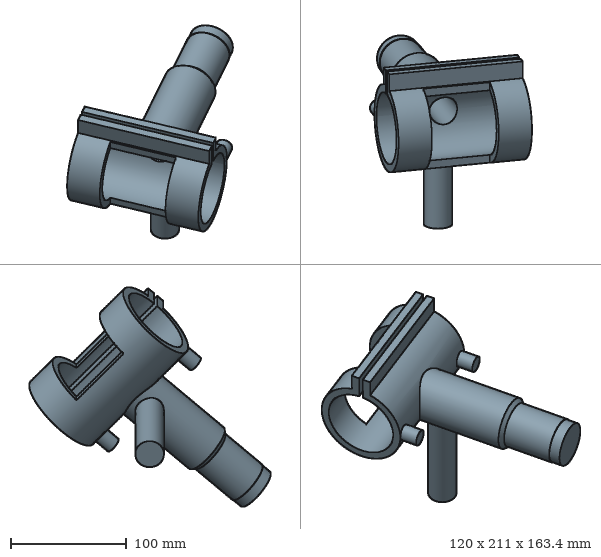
import cadquery as cq


ring_length = 120.0
ring_radius = 38.5
ring_bore_radius = 31.5
window_length = ring_length / 2
window_face_y = -10.3

flange_top_z = 52.8
flange_span = 18.0
flange_gap = 3.5

overall_length = 211.0
neck_end_y = overall_length - ring_radius
cap_length = 10.0
cap_radius = 19.6
spigot_radius = 20.0
neck_radius = 23.5
spigot_length = 44.0
shoulder_length = 3.8
neck_bore_radius = 12.5

branch_radius = neck_bore_radius
branch_y = 48.1
overall_height = 163.4
branch_bottom_z = flange_top_z - overall_height

terminal_radius = 7.2
terminal_x = 52.5
terminal_end_y = 53.6

cap_start_y = neck_end_y - cap_length
shoulder_end_y = cap_start_y - spigot_length
shoulder_start_y = shoulder_end_y - shoulder_length


def cylinder_along_y(radius, start_y, end_y, x=0):
    """Solid cylinder at height zero, from start_y to end_y."""
    return cq.Workplane(cq.Solid.makeCylinder(
        radius, end_y - start_y, cq.Vector(x, start_y, 0), cq.Vector(0, 1, 0)))


def cylinder_along_x(radius):
    """Cylinder on the ring axis, as long as the ring."""
    return (
        cq.Workplane("YZ", origin=(-ring_length / 2, 0, 0))
        .circle(radius)
        .extrude(ring_length)
    )


def flange_block(width, top_z):
    """Upright block over the ring axis, as long as the ring."""
    return cq.Workplane("XY").rect(ring_length, width).extrude(top_z)


def make_neck():
    """Neck, conical shoulder and narrower spigot, revolved about the Y axis."""
    return (
        cq.Workplane("XY")
        .moveTo(0, 0)
        .lineTo(neck_radius, 0)
        .lineTo(neck_radius, shoulder_start_y)
        .lineTo(spigot_radius, shoulder_end_y)
        .lineTo(spigot_radius, cap_start_y)
        .lineTo(0, cap_start_y)
        .close()
        .revolve(360, (0, 0, 0), (0, 1, 0))
    )


def make_branch():
    """Round rod hanging from the neck, sunk to the neck axis before boring."""
    return (
        cq.Workplane("XY", origin=(0, branch_y, 0))
        .circle(branch_radius)
        .extrude(branch_bottom_z)
    )


def make_window():
    """Cutter that opens the middle of the ring toward -Y."""
    return cq.Workplane("XY").box(
        window_length, ring_radius, 2 * ring_radius, centered=(True, False, True)
    ).translate((0, window_face_y - ring_radius, 0))


def make_saddle():
    """Split clamp ring with its neck, branch rod and terminal pins."""
    body = cylinder_along_x(ring_radius)
    body = body.union(flange_block(flange_span, flange_top_z))
    body = body.union(make_neck()).union(make_branch())
    for side in (-1, 1):
        body = body.union(cylinder_along_y(terminal_radius, 0, terminal_end_y, side * terminal_x))
    body = body.cut(cylinder_along_x(ring_bore_radius))
    body = body.cut(flange_block(flange_gap, flange_top_z))
    body = body.cut(make_window())
    body = body.cut(cylinder_along_y(neck_bore_radius, 0, cap_start_y))
    return body.solids()


def make_cap():
    """Flat disc that closes the far end of the neck bore."""
    return cylinder_along_y(cap_radius, cap_start_y, neck_end_y)


saddle = make_saddle()
cap = make_cap()

result = cq.Compound.makeCompound([saddle.val(), cap.val()])